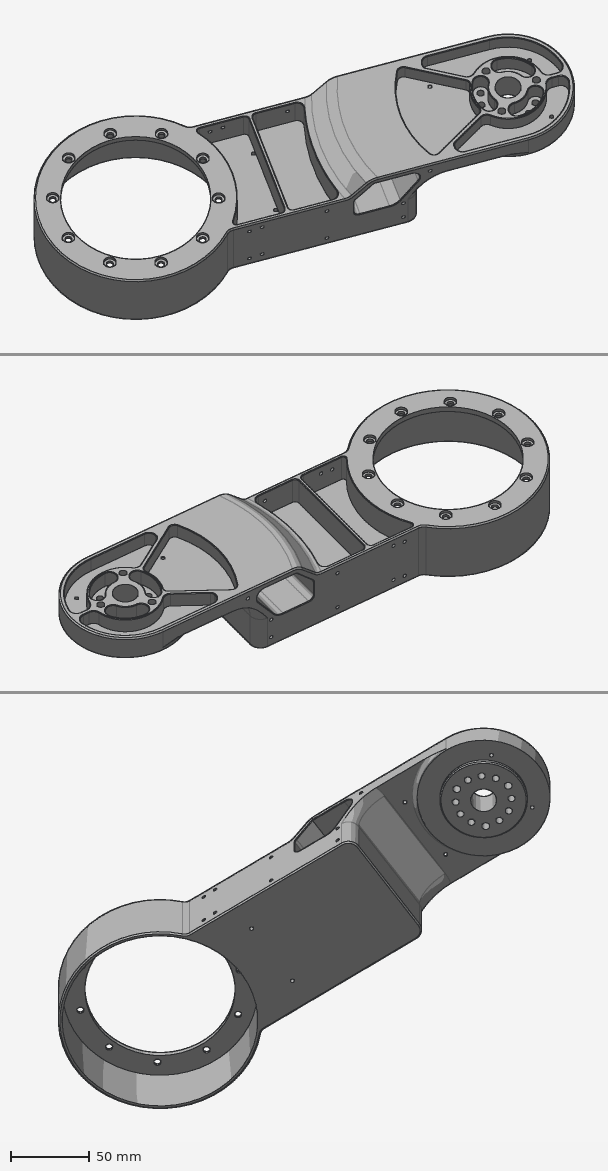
import cadquery as cq
import math

hub_y = 250.0
head_radius = 42.5
ring_radius = 65.0
top_z = 57.7
ring_height = 43.7
outer_chamfer = 1.0
pocket_chamfer = 0.5
side_fillet = 6.0

clearance = 100.0
margin = 1.0

bore_radius = 48.0
ring_wall = 2.5
flange_thickness = 4.0
ring_bolt_circle_radius = 53.0
ring_bolt_count = 10
ring_bolt_diameter = 4.5
ring_bolt_head_diameter = 8.0
ring_bolt_head_depth = 2.0

arm_underside_z = 46.0
head_disc_z = 41.0
head_disc_fillet = 3.0
boss_z = 38.0
boss_radius = 28.0
boss_chamfer = 0.8
block_end_y = 177.0
block_corner_radius = 8.0
neck_fillet = 20.0

step_crest_radius = 113.4
step_top_fillet = 10.0
step_bottom_fillet = 6.0
step_slope = 45.0

tray_end_radius = 130.5
tray_wall = 3.0
tray_floor_z = 24.0
tray_step_corner_radius = 4.5
tray_rib_corner_radius = 3.0
tray_ring_corner_radius = 2.0
rib_y = 89.2
rib_thickness = 2.5

hub_radius = 24.7
head_wall = 3.5
head_floor_z = 47.0
head_rib_thickness = 3.0
lobe_end_y = 203.5
lobe_outer_fillet = 5.0
lobe_inner_fillet = 3.0
lobe_root_fillet = 5.0
fan_radius = 71.8
fan_rib_angle = 32.5
fan_corner_radius = 4.0
fan_root_radius = 3.0

hub_bore_diameter = 16.5
hub_bolt_circle_radius = 17.9
hub_bolt_spacing = 30.0
hub_bolt_diameter = 4.5
dowel_circle_radius = 19.0
dowel_diameter = 5.0
kidney_width = 10.0
kidney_center_angles = (30.0, 150.0, 270.0)
dowel_angles = (90.0, 210.0, 330.0)
kidney_floor_z = 46.0

screw_diameter = 2.5
screw_depth = 8.0
side_screws = [
    (62.7, 6.7),
    (62.7, 36.5),
    (71.3, 7.7),
    (71.3, 37.5),
    (114.7, 6.7),
    (114.7, 36.5),
    (166.1, 7.7),
    (166.1, 23.0),
    (184.1, 51.0),
]
floor_screw_x = 23.2
head_screw_offsets = (-45.0, 21.8)
tray_screw_y = 86.5

window_web = 3.0
window_top_z = 53.0
window_floor_z = 23.5
window_front_y = 133.0
window_knee_z = 39.5
window_foot_y = 161.3
window_back_y = 183.0
window_back_fillet = 6.0
window_foot_fillet = 9.0
window_front_fillet = 4.0


def cylinder(radius, bottom_z, upper_z, y=0.0):
    """Upright cylinder on the ring axis, or on a parallel axis at the given Y."""
    return cq.Workplane("XY", origin=(0, y, bottom_z)).circle(radius).extrude(upper_z - bottom_z)


def box(x_half, y_start, y_end, bottom_z, upper_z):
    """Block centred on X between the given Y and Z limits."""
    corner = cq.Workplane("XY", origin=(0, y_start, bottom_z))
    return corner.box(2 * x_half, y_end - y_start, upper_z - bottom_z, centered=(True, False, False))


def arm_outline():
    """Full-height prism of the plan outline: ring, straight arm and round head."""
    arm = box(head_radius, 0, hub_y, 0, top_z)
    head = cylinder(head_radius, 0, top_z, hub_y)
    prism = arm.union(cylinder(ring_radius, 0, top_z))
    junction_y = math.sqrt(ring_radius**2 - head_radius**2)
    corners = cq.selectors.BoxSelector(
        (-head_radius - margin, junction_y - margin, 0),
        (head_radius + margin, junction_y + margin, top_z),
    )
    return prism.edges("|Z").edges(corners).fillet(side_fillet).union(head)


def underside_envelope():
    """Oversize plate carrying the block and the head disc with their blends."""
    plate = box(clearance, -clearance, hub_y + clearance, arm_underside_z, top_z)
    block = box(head_radius, -2 * clearance, block_end_y, 0, arm_underside_z)
    block = block.edges("|Z and >Y").fillet(block_corner_radius)
    blended = plate.union(block)
    root = cq.selectors.BoxSelector(
        (-head_radius - margin, -clearance + margin, arm_underside_z - margin),
        (head_radius + margin, block_end_y + margin, arm_underside_z + margin),
        boundingbox=False,
    )
    blended = blended.edges(root).fillet(neck_fillet)
    disc_profile = (
        cq.Workplane("XZ", origin=(0, hub_y, 0))
        .moveTo(0, head_disc_z)
        .lineTo(head_radius, head_disc_z)
        .lineTo(head_radius, arm_underside_z - head_disc_fillet)
        .radiusArc((head_radius + head_disc_fillet, arm_underside_z), head_disc_fillet)
        .lineTo(0, arm_underside_z)
        .close()
    )
    disc = disc_profile.revolve(360, (0, 0, 0), (0, 1, 0))
    ring_block = box(ring_radius, -ring_radius, ring_radius, 0, arm_underside_z)
    return blended.union(disc).union(ring_block)


def hub_boss():
    """Low round boss under the head disc."""
    boss = cylinder(boss_radius, boss_z, arm_underside_z, hub_y)
    return boss.faces("<Z").edges().chamfer(boss_chamfer)


def step_cutter():
    """Space above the ring level, beyond the sloping step around the hub axis."""
    drop = top_z - ring_height
    slope = math.radians(step_slope)
    foot_radius = step_crest_radius + drop / math.tan(slope)
    outer = hub_y + clearance
    top_run = step_top_fillet * math.tan(slope / 2)
    foot_run = step_bottom_fillet * math.tan(slope / 2)
    along = math.cos(slope)
    down = math.sin(slope)
    profile = (
        cq.Workplane("XZ", origin=(0, hub_y, 0))
        .moveTo(step_crest_radius - top_run, top_z)
        .radiusArc((step_crest_radius + top_run * along, top_z - top_run * down), step_top_fillet)
        .lineTo(foot_radius - foot_run * along, ring_height + foot_run * down)
        .radiusArc((foot_radius + foot_run, ring_height), -step_bottom_fillet)
        .lineTo(outer, ring_height)
        .lineTo(outer, top_z + margin)
        .lineTo(step_crest_radius - top_run, top_z + margin)
        .close()
    )
    return profile.revolve(360, (0, 0, 0), (0, 1, 0))


def chamfer_outline(body):
    """Break the whole upper outline and the bottom outline of block and ring."""
    slack = margin / 10
    step_start_radius = step_crest_radius - step_top_fillet
    step_start_y = hub_y - math.sqrt(step_start_radius**2 - head_radius**2)
    ring_and_step = cq.selectors.BoxSelector(
        (-clearance, -clearance, ring_height - slack), (clearance, step_start_y, top_z + margin)
    )
    deck = cq.selectors.BoxSelector(
        (-clearance, -clearance, top_z - slack), (clearance, hub_y + clearance, top_z + slack)
    )
    bottom = cq.selectors.BoxSelector((-clearance, -clearance, -slack), (clearance, hub_y, slack))
    lines_across_step = cq.selectors.BoxSelector(
        (-margin, ring_radius + margin, 0), (margin, hub_y - step_start_radius, top_z + margin)
    )
    return body.edges((ring_and_step + deck + bottom) - lines_across_step).chamfer(outer_chamfer)


def with_mouth(pocket, opening=">Z"):
    """Pocket widened by a 45 degree chamfer at its opening, the face named by a selector."""
    face = pocket.faces(opening).val()
    wide = face.outerWire().offset2D(pocket_chamfer)[0]
    deep = face.outerWire().translate(face.normalAt() * -pocket_chamfer)
    return pocket.union(cq.Workplane("XY").add(cq.Solid.makeLoft([deep, wide], True)))


def round_corners(solid, y_start, y_end, radius):
    """Fillet the vertical edges that stand between two Y positions."""
    band = cq.selectors.BoxSelector((-clearance, y_start, 0), (clearance, y_end, top_z))
    return solid.edges("|Z").edges(band).fillet(radius)


def upper_tray():
    """Tray between the step and the cross rib; its far wall is an arc about the hub axis."""
    rib_face_y = rib_y + rib_thickness / 2
    tray = box(head_radius - tray_wall, rib_face_y, hub_y, tray_floor_z, ring_height)
    tray = tray.cut(cylinder(tray_end_radius, 0, top_z, hub_y))
    tray = round_corners(tray, rib_face_y - margin, rib_face_y + margin, tray_rib_corner_radius)
    return round_corners(tray, hub_y - tray_end_radius, hub_y, tray_step_corner_radius)


def lower_tray():
    """Tray between the cross rib and the round outside of the ring."""
    rib_face_y = rib_y - rib_thickness / 2
    tray = box(head_radius - tray_wall, 0, rib_face_y, tray_floor_z, ring_height)
    tray = tray.cut(cylinder(ring_radius, 0, top_z))
    tray = round_corners(tray, rib_face_y - margin, rib_face_y + margin, tray_rib_corner_radius)
    return round_corners(tray, 0, ring_radius, tray_ring_corner_radius)


def head_region(points):
    """Prism over head pocket depth from points given relative to the hub axis."""
    floor = cq.Workplane("XY", origin=(0, hub_y, head_floor_z))
    return floor.polyline(points).close().extrude(top_z - head_floor_z)


def fan_side_point(side, reach, offset):
    """Hub-relative point on a line along the slanted rib, moved towards the fan by offset."""
    angle = math.radians(fan_rib_angle)
    return (
        side * (reach * math.sin(angle) - offset * math.cos(angle)),
        -reach * math.cos(angle) - offset * math.sin(angle),
    )


def fan_pocket():
    """Sector between the two slanted ribs, from the hub out to an arc about the hub axis."""
    half_rib = head_rib_thickness / 2
    reach = 2 * fan_radius
    apex = (0, -half_rib / math.sin(math.radians(fan_rib_angle)))
    sector = head_region([apex, fan_side_point(1, reach, half_rib), fan_side_point(-1, reach, half_rib)])
    sector = sector.intersect(cylinder(fan_radius, head_floor_z, top_z, hub_y))
    sector = sector.cut(cylinder(hub_radius, head_floor_z, top_z, hub_y))
    sector = round_corners(sector, hub_y - fan_radius, hub_y - fan_radius / 2, fan_corner_radius)
    return round_corners(sector, hub_y - hub_radius, hub_y, fan_root_radius)


def lobe_pocket():
    """Pocket between hub and rim on the +X side, from the tip rib round to the slanted rib."""
    half_rib = head_rib_thickness / 2
    inner_radius = head_radius - head_wall
    lobe = cylinder(inner_radius, head_floor_z, top_z, hub_y)
    lobe = lobe.union(box(inner_radius, lobe_end_y, hub_y, head_floor_z, top_z))
    start = fan_side_point(1, 0, -half_rib)
    end = fan_side_point(1, fan_radius, -half_rib)
    far = 2 * head_radius
    beside_ribs = head_region([(half_rib, far), (half_rib, start[1]), start, end, (far, end[1]), (far, far)])
    below_end = box(far, hub_y - far, lobe_end_y, head_floor_z, top_z)
    lobe = lobe.intersect(beside_ribs).cut(below_end)
    lobe = lobe.cut(cylinder(hub_radius, head_floor_z, top_z, hub_y))
    lobe = round_corners(lobe, lobe_end_y + margin, hub_y + head_radius, lobe_root_fillet)
    lobe = lobe.edges("|Z and >X and <Y").fillet(lobe_outer_fillet)
    inner_corner = cq.selectors.BoxSelector((0, lobe_end_y - margin, 0), (end[0], lobe_end_y + margin, top_z))
    return lobe.edges("|Z").edges(inner_corner).edges("<X").fillet(lobe_inner_fillet)


def polar(radius, angle):
    """Point at a radius and an angle in degrees."""
    turn = math.radians(angle)
    return (radius * math.cos(turn), radius * math.sin(turn))


def kidney_pocket(center_angle):
    """Round-ended arc slot in the hub face around three neighbouring bolt holes."""
    inner = hub_bolt_circle_radius - kidney_width / 2
    outer = hub_bolt_circle_radius + kidney_width / 2
    start = center_angle - hub_bolt_spacing
    end = center_angle + hub_bolt_spacing
    return (
        cq.Workplane("XY", origin=(0, hub_y, kidney_floor_z))
        .moveTo(*polar(outer, start))
        .threePointArc(polar(outer, center_angle), polar(outer, end))
        .tangentArcPoint(polar(inner, end), relative=False)
        .threePointArc(polar(inner, center_angle), polar(inner, start))
        .tangentArcPoint(polar(outer, start), relative=False)
        .close()
        .extrude(top_z - kidney_floor_z)
    )


def hub_holes():
    """Centre bore, three bolt holes in each kidney and a dowel hole between the kidneys."""
    hub_plane = cq.Workplane("XY", origin=(0, hub_y, 0))
    turns = (-hub_bolt_spacing, 0, hub_bolt_spacing)
    bolt_angles = [center + turn for center in kidney_center_angles for turn in turns]
    bolt_places = [polar(hub_bolt_circle_radius, angle) for angle in bolt_angles]
    bolts = hub_plane.pushPoints(bolt_places).circle(hub_bolt_diameter / 2).extrude(top_z)
    dowel_places = [polar(dowel_circle_radius, angle) for angle in dowel_angles]
    dowels = hub_plane.pushPoints(dowel_places).circle(dowel_diameter / 2).extrude(top_z)
    return bolts.union(dowels).union(cylinder(hub_bore_diameter / 2, 0, top_z, hub_y))


def ring_holes():
    """Bore through the top flange, the wide cavity below it, and the counterbored flange bolts."""
    head_z = ring_height - ring_bolt_head_depth
    bore = cylinder(bore_radius, 0, ring_height)
    bore = bore.union(cylinder(ring_radius - ring_wall, 0, ring_height - flange_thickness))
    places = cq.Workplane("XY").polarArray(ring_bolt_circle_radius, 0, 360, ring_bolt_count)
    shanks = places.circle(ring_bolt_diameter / 2).extrude(ring_height)
    heads = places.circle(ring_bolt_head_diameter / 2).extrude(ring_bolt_head_depth).translate((0, 0, head_z))
    return bore.union(shanks).union(heads)


def screw_holes():
    """Small holes through the pocket floors and into both sides of the arm."""
    rows = [hub_y + offset for offset in head_screw_offsets] + [tray_screw_y]
    floor_places = [(side * floor_screw_x, y) for side in (-1, 1) for y in rows]
    holes = cq.Workplane("XY").pushPoints(floor_places).circle(screw_diameter / 2).extrude(head_floor_z)
    left = (
        cq.Workplane("YZ", origin=(-head_radius, 0, 0))
        .pushPoints(side_screws)
        .circle(screw_diameter / 2)
        .extrude(screw_depth)
    )
    return holes.union(left).union(left.mirror("YZ"))


def round_window_corner(window, y, z, radius):
    """Fillet the edge along X that passes through the given Y and Z."""
    corner = cq.selectors.BoxSelector(
        (-clearance, y - margin, z - margin), (clearance, y + margin, z + margin)
    )
    return window.edges("|X").edges(corner).fillet(radius)


def side_windows():
    """Deep recess in each side under the step, parted by a web in the middle."""
    slope_y = window_front_y + window_top_z - window_knee_z
    left = (
        cq.Workplane("YZ", origin=(-head_radius, 0, 0))
        .polyline(
            [
                (window_back_y, window_top_z),
                (slope_y, window_top_z),
                (window_front_y, window_knee_z),
                (window_front_y, window_floor_z),
                (window_foot_y, window_floor_z),
            ]
        )
        .close()
        .extrude(head_radius - window_web / 2)
    )
    left = round_window_corner(left, window_back_y, window_top_z, window_back_fillet)
    left = left.edges("|X and <Y").fillet(window_front_fillet)
    left = round_window_corner(left, window_foot_y, window_floor_z, window_foot_fillet)
    left = with_mouth(left, "<X")
    return left.union(left.mirror("YZ"))


body = arm_outline().intersect(underside_envelope())
body = body.cut(step_cutter())
body = chamfer_outline(body)
body = body.union(hub_boss())

lobe = lobe_pocket()
pockets = [upper_tray(), lower_tray(), fan_pocket(), lobe, lobe.mirror("YZ")]
pockets += [kidney_pocket(angle) for angle in kidney_center_angles]
for pocket in pockets:
    body = body.cut(with_mouth(pocket))

result = body.cut(hub_holes()).cut(ring_holes()).cut(screw_holes()).cut(side_windows())